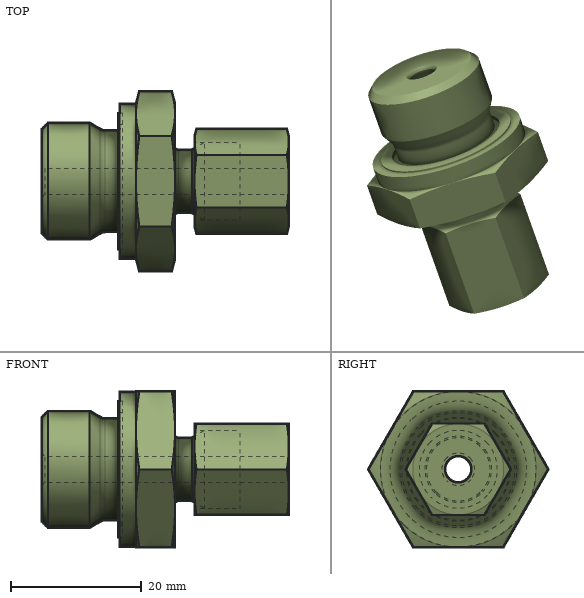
import cadquery as cq
import math


seal_face_x = 11.75
flange_x = 12.0
hex_x = 14.5
hex_end_x = 20.5
nut_x = 23.5
overall_length = 38.0

bore_dia = 4.0
countersink_dia = 5.0
plug_dia = 18.0
plug_chamfer = 1.0
plug_length = 7.35
groove_dia = 15.7
groove_taper = math.radians(30)
groove_fillet = 1.5
flange_dia = 23.9
hex_flats = 24.0

neck_dia = 9.75
neck_fillet = 0.8
neck_fillet_sweep = math.radians(45)
neck_end_x = 23.1
neck_taper = math.radians(30)
stub_dia = 12.0
stub_length = 10.0
stub_end_x = hex_end_x + stub_length

ring_outer_dia = 21.0
ring_inner_dia = 17.4
step_slope = math.radians(25)
ring_seat_x = flange_x + (ring_inner_dia - groove_dia) / 2 * math.tan(step_slope)

nut_flats = 14.0

corner_chamfer = math.radians(15)


def revolve_about_x(outline):
    """Close an outline of axial position and radius and turn it about the X axis."""
    return outline.close().revolve(360, (0, 0, 0), (1, 0, 0))


def cylinder(dia, start_x, end_x):
    return cq.Workplane("YZ", origin=(start_x, 0, 0)).circle(dia / 2).extrude(end_x - start_x)


def hexagon_prism(flats, start_x, end_x):
    """Hexagon along X with corners on +Y and -Y, its corners turned conical at both ends."""
    corner_radius = flats / 2 / math.cos(math.pi / 6)
    face_radius = flats / 2
    drop = (corner_radius - face_radius) * math.tan(corner_chamfer)
    prism = (
        cq.Workplane("YZ", origin=(start_x, 0, 0))
        .polygon(6, 2 * corner_radius)
        .extrude(end_x - start_x)
    )
    envelope = revolve_about_x(
        cq.Workplane("XY")
        .moveTo(start_x, 0)
        .lineTo(start_x, face_radius)
        .lineTo(start_x + drop, corner_radius)
        .lineTo(end_x - drop, corner_radius)
        .lineTo(end_x, face_radius)
        .lineTo(end_x, 0)
    )
    return prism.intersect(envelope)


def screw_in_end():
    """Plug, relief groove, ring recess and flange."""
    plug_radius = plug_dia / 2
    groove_radius = groove_dia / 2
    ring_inner_radius = ring_inner_dia / 2

    fillet_start_radius = groove_radius + groove_fillet * (1 - math.cos(groove_taper))
    fillet_start_x = plug_length + (plug_radius - fillet_start_radius) / math.tan(groove_taper)
    fillet_end_x = fillet_start_x + groove_fillet * math.sin(groove_taper)
    fillet_mid_x = fillet_end_x - groove_fillet * math.sin(groove_taper / 2)
    fillet_mid_radius = groove_radius + groove_fillet * (1 - math.cos(groove_taper / 2))

    return revolve_about_x(
        cq.Workplane("XY")
        .moveTo(0, 0)
        .lineTo(0, plug_radius - plug_chamfer)
        .lineTo(plug_chamfer, plug_radius)
        .lineTo(plug_length, plug_radius)
        .lineTo(fillet_start_x, fillet_start_radius)
        .threePointArc((fillet_mid_x, fillet_mid_radius), (fillet_end_x, groove_radius))
        .lineTo(flange_x, groove_radius)
        .lineTo(ring_seat_x, ring_inner_radius)
        .lineTo(ring_seat_x, ring_outer_dia / 2)
        .lineTo(flange_x, ring_outer_dia / 2)
        .lineTo(flange_x, flange_dia / 2)
        .lineTo(hex_x, flange_dia / 2)
        .lineTo(hex_x, 0)
    )


def nut_end():
    """Neck with a fillet at the hexagon, widening by a taper to the stub inside the nut."""
    neck_radius = neck_dia / 2
    stub_radius = stub_dia / 2
    fillet_start_radius = neck_radius + neck_fillet * (1 - math.cos(neck_fillet_sweep))
    fillet_end_x = hex_end_x + neck_fillet * math.sin(neck_fillet_sweep)
    fillet_mid_x = fillet_end_x - neck_fillet * math.sin(neck_fillet_sweep / 2)
    fillet_mid_radius = neck_radius + neck_fillet * (1 - math.cos(neck_fillet_sweep / 2))
    taper_end_x = neck_end_x + (stub_radius - neck_radius) / math.tan(neck_taper)

    return revolve_about_x(
        cq.Workplane("XY")
        .moveTo(hex_end_x, 0)
        .lineTo(hex_end_x, fillet_start_radius)
        .threePointArc((fillet_mid_x, fillet_mid_radius), (fillet_end_x, neck_radius))
        .lineTo(neck_end_x, neck_radius)
        .lineTo(taper_end_x, stub_radius)
        .lineTo(stub_end_x, stub_radius)
        .lineTo(stub_end_x, 0)
    )


def fitting_body():
    hexagon = hexagon_prism(hex_flats, hex_x, hex_end_x)
    bore = cylinder(bore_dia, 0, stub_end_x)
    countersink_depth = (countersink_dia - bore_dia) / 2
    countersink = revolve_about_x(
        cq.Workplane("XY")
        .moveTo(0, 0)
        .lineTo(0, countersink_dia / 2)
        .lineTo(countersink_depth, bore_dia / 2)
        .lineTo(countersink_depth, 0)
    )
    solid = screw_in_end().union(hexagon).union(nut_end())
    return solid.cut(bore).cut(countersink)


def sealing_ring():
    """Flat ring seated in the flange recess and standing slightly proud of the flange."""
    outside = cylinder(ring_outer_dia, seal_face_x, ring_seat_x)
    return outside.cut(cylinder(ring_inner_dia, seal_face_x, ring_seat_x))


def union_nut():
    """Hexagon nut with a socket for the stub and the bore carried on through its far end."""
    hexagon = hexagon_prism(nut_flats, nut_x, overall_length)
    socket = cylinder(stub_dia, nut_x, stub_end_x)
    bore = cylinder(bore_dia, stub_end_x, overall_length)
    return hexagon.cut(socket).cut(bore)


body = fitting_body()
ring = sealing_ring()
nut = union_nut()

result = cq.Compound.makeCompound([body.solids().val(), ring.solids().val(), nut.solids().val()])